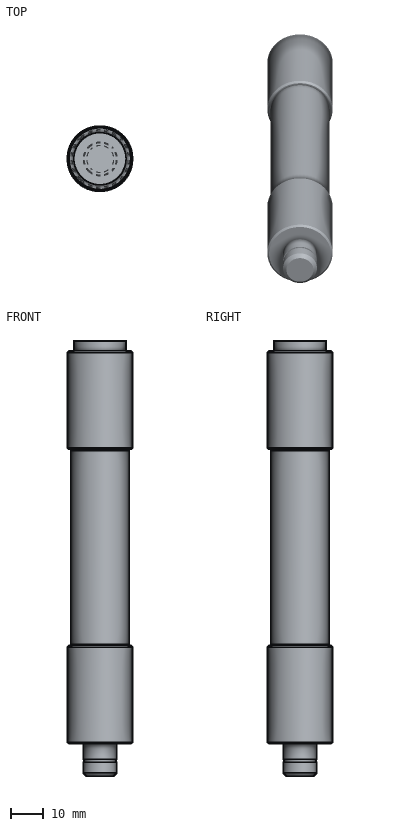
import cadquery as cq

total_length = 133.0
sleeve_diameter = 20.0
sleeve_length = 30.0
sleeve_chamfer = 0.5
tube_diameter = 18.0
tube_chamfer = 0.4
button_diameter = 16.0
button_height = 3.0
stud_diameter = 10.4
stud_length = 10.0
stud_chamfer = 1.0
groove_depth = 0.3
groove_width = 0.8
groove_height = 4.4

bottom_z = -total_length / 2
lower_sleeve_z = bottom_z + stud_length
tube_z = lower_sleeve_z + sleeve_length
button_z = total_length / 2 - button_height
upper_sleeve_z = button_z - sleeve_length
tube_length = upper_sleeve_z - tube_z


def cylinder(diameter, length, base_z):
    """Upright cylinder on the rod axis, standing on base_z."""
    return cq.Workplane("XY").workplane(offset=base_z).circle(diameter / 2).extrude(length)


def make_sleeve(base_z):
    """Thick end section with both rims chamfered."""
    return cylinder(sleeve_diameter, sleeve_length, base_z).edges().chamfer(sleeve_chamfer)


def make_tube():
    """Slimmer middle section held between the sleeves."""
    return cylinder(tube_diameter, tube_length, tube_z).edges().chamfer(tube_chamfer)


def make_button():
    """Plain disc on the upper sleeve."""
    return cylinder(button_diameter, button_height, button_z)


def make_stud():
    """Connector stud with a chamfered tip and one shallow ring groove."""
    stud = cylinder(stud_diameter, stud_length, bottom_z).faces("<Z").edges().chamfer(stud_chamfer)
    groove_z = bottom_z + groove_height
    core_diameter = stud_diameter - 2 * groove_depth
    groove = cylinder(stud_diameter, groove_width, groove_z).cut(
        cylinder(core_diameter, groove_width, groove_z)
    )
    return stud.cut(groove)


button = make_button()
upper_sleeve = make_sleeve(upper_sleeve_z)
tube = make_tube()

lower_sleeve = make_sleeve(lower_sleeve_z).union(make_stud())

result = cq.Compound.makeCompound(
    [button.val(), upper_sleeve.val(), tube.val(), lower_sleeve.val()]
)